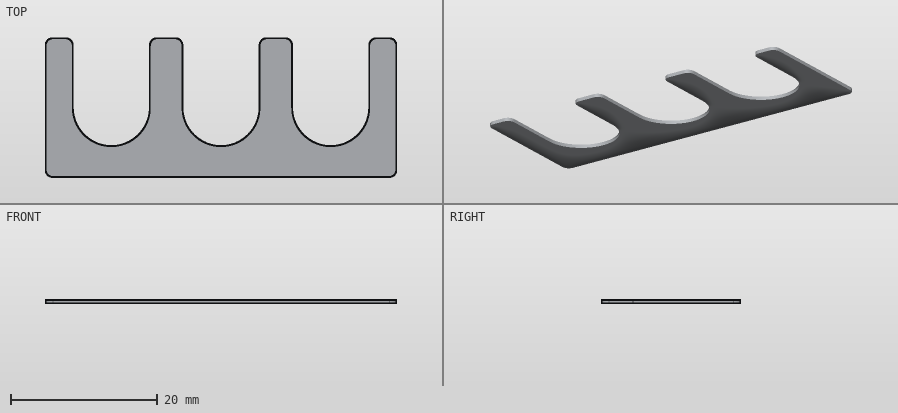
import cadquery as cq

length = 48.0
depth = 19.0
thickness = 0.5
slot_count = 3
slot_width = 10.5
end_finger_width = 3.75
corner_radius = 1.0

slot_radius = slot_width / 2
slot_centre_y = 0.0
first_slot_x = -length / 2 + end_finger_width + slot_radius
slot_pitch = -2 * first_slot_x / (slot_count - 1)


def make_slot(centre_x):
    """U-shaped cutter: a round end with straight walls up to the +Y edge."""
    left = centre_x - slot_radius
    right = centre_x + slot_radius
    return (
        cq.Workplane("XY")
        .moveTo(left, depth / 2)
        .lineTo(left, slot_centre_y)
        .threePointArc((centre_x, slot_centre_y - slot_radius), (right, slot_centre_y))
        .lineTo(right, depth / 2)
        .close()
        .extrude(thickness)
    )


plate = cq.Workplane("XY").box(length, depth, thickness, centered=(True, True, False))

for index in range(slot_count):
    plate = plate.cut(make_slot(first_slot_x + index * slot_pitch))

plate = plate.faces(">Y or <Y").edges("|Z").fillet(corner_radius)

result = plate